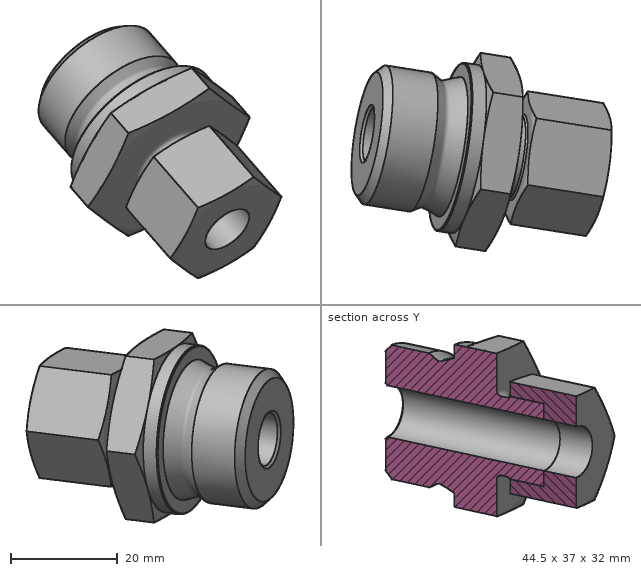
import cadquery as cq
import math


TOTAL_LENGTH = 44.5
BORE_DIAMETER = 10.0
BORE_CHAMFER = 0.5

THREAD_DIAMETER = 26.45
THREAD_END = 10.25
THREAD_CHAMFER = 1.5
GROOVE_DIAMETER = 24.1
GROOVE_RADIUS = 1.0
GROOVE_THREAD_ANGLE = 30.0
GROOVE_COLLAR_ANGLE = 20.0

BODY_ACROSS_FLATS = 32.0
COLLAR_START = 16.0
COLLAR_CHAMFER = 0.22
HEX_START = 18.9
HEX_END = 26.0

NECK_DIAMETER = 15.65
NECK_FILLET = 0.95
FLARE_LENGTH = 0.35
STUB_LENGTH = 11.0

NUT_ACROSS_FLATS = 22.0
NUT_LENGTH = 15.5

HEX_CHAMFER_ANGLE = 15.0

bore_radius = BORE_DIAMETER / 2
neck_radius = NECK_DIAMETER / 2
stub_radius = neck_radius + FLARE_LENGTH
nut_start = TOTAL_LENGTH - NUT_LENGTH
stub_end = HEX_END + STUB_LENGTH


def revolve_about_x(profile):
    """Turn a closed profile, drawn as (X, radius), around the X axis."""
    return profile.close().revolve(360, (0, 0, 0), (1, 0, 0))


def cylinder_along_x(radius, start, end):
    return cq.Workplane("YZ", origin=(start, 0, 0)).circle(radius).extrude(end - start)


def chamfered_hexagon(across_flats, start, end):
    """Hexagonal prism with flats facing +Z and -Z, its corners turned to a cone at both ends."""
    corner_radius = across_flats / math.sqrt(3)
    flat_radius = across_flats / 2
    chamfer_length = (corner_radius - flat_radius) * math.tan(math.radians(HEX_CHAMFER_ANGLE))
    prism = cq.Workplane("YZ", origin=(start, 0, 0)).polygon(6, 2 * corner_radius).extrude(end - start)
    turned_blank = revolve_about_x(
        cq.Workplane("XY")
        .moveTo(start, 0)
        .lineTo(start, flat_radius)
        .lineTo(start + chamfer_length, corner_radius)
        .lineTo(end - chamfer_length, corner_radius)
        .lineTo(end, flat_radius)
        .lineTo(end, 0)
    )
    return prism.intersect(turned_blank)


def screw_in_end():
    """Chamfered thread cylinder, rounded groove and collar, up to the hexagon."""
    thread_radius = THREAD_DIAMETER / 2
    groove_bottom = GROOVE_DIAMETER / 2
    collar_radius = BODY_ACROSS_FLATS / 2
    thread_angle = math.radians(GROOVE_THREAD_ANGLE)
    collar_angle = math.radians(GROOVE_COLLAR_ANGLE)

    arc_start_radius = groove_bottom + GROOVE_RADIUS * (1 - math.cos(thread_angle))
    arc_end_radius = groove_bottom + GROOVE_RADIUS * (1 - math.cos(collar_angle))
    arc_start = THREAD_END + (thread_radius - arc_start_radius) / math.tan(thread_angle)
    arc_bottom = arc_start + GROOVE_RADIUS * math.sin(thread_angle)
    arc_end = arc_bottom + GROOVE_RADIUS * math.sin(collar_angle)
    cone_end_radius = arc_end_radius + (COLLAR_START - arc_end) * math.tan(collar_angle)

    return revolve_about_x(
        cq.Workplane("XY")
        .lineTo(0, thread_radius - THREAD_CHAMFER)
        .lineTo(THREAD_CHAMFER, thread_radius)
        .lineTo(THREAD_END, thread_radius)
        .lineTo(arc_start, arc_start_radius)
        .threePointArc((arc_bottom, groove_bottom), (arc_end, arc_end_radius))
        .lineTo(COLLAR_START, cone_end_radius)
        .lineTo(COLLAR_START, collar_radius - COLLAR_CHAMFER)
        .lineTo(COLLAR_START + COLLAR_CHAMFER, collar_radius)
        .lineTo(HEX_START, collar_radius)
        .lineTo(HEX_START, 0)
    )


def neck_and_stub():
    """Neck with a fillet at the hexagon, flaring out to the stub inside the nut."""
    fillet_middle = NECK_FILLET * (1 - math.sqrt(0.5))
    return revolve_about_x(
        cq.Workplane("XY")
        .moveTo(HEX_END, 0)
        .lineTo(HEX_END, neck_radius + NECK_FILLET)
        .threePointArc(
            (HEX_END + fillet_middle, neck_radius + fillet_middle),
            (HEX_END + NECK_FILLET, neck_radius),
        )
        .lineTo(nut_start - FLARE_LENGTH, neck_radius)
        .lineTo(nut_start, stub_radius)
        .lineTo(stub_end, stub_radius)
        .lineTo(stub_end, 0)
    )


def body_bore():
    """Through bore with a countersunk mouth at the screw-in end."""
    return revolve_about_x(
        cq.Workplane("XY")
        .lineTo(0, bore_radius + BORE_CHAMFER)
        .lineTo(BORE_CHAMFER, bore_radius)
        .lineTo(stub_end, bore_radius)
        .lineTo(stub_end, 0)
    )


def make_fitting_body():
    hexagon = chamfered_hexagon(BODY_ACROSS_FLATS, HEX_START, HEX_END)
    return screw_in_end().union(hexagon).union(neck_and_stub()).cut(body_bore())


def make_union_nut():
    """Hexagonal nut with a recess for the stub and the bore carried on behind it."""
    hexagon = chamfered_hexagon(NUT_ACROSS_FLATS, nut_start, TOTAL_LENGTH)
    stub_recess = cylinder_along_x(stub_radius, nut_start, stub_end)
    tube_hole = cylinder_along_x(bore_radius, stub_end, TOTAL_LENGTH)
    return hexagon.cut(stub_recess).cut(tube_hole)


fitting_body = make_fitting_body()
union_nut = make_union_nut()

result = cq.Compound.makeCompound([fitting_body.val(), union_nut.val()])